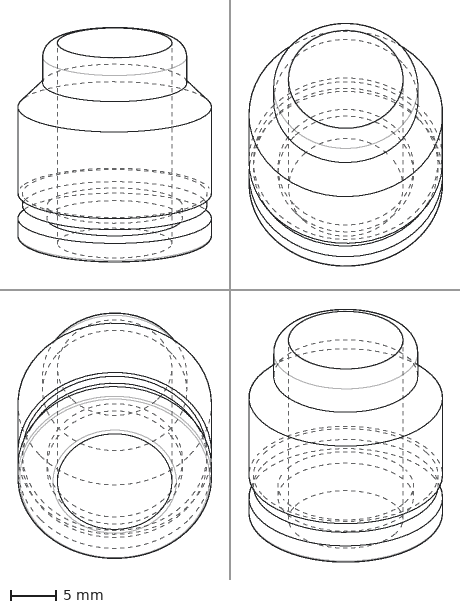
import cadquery as cq
import math

body_diameter = 21.5
total_height = 23.0

bore_diameter = 12.7
groove_diameter = 15.05
neck_diameter = 16.0
shoulder_diameter = 20.5
bottom_flat_diameter = 13.7

flange_top = 2.85
groove_top = 4.3
shoulder_top = 5.7
cylinder_top = 15.65

bottom_taper_angle = 10.0
flange_edge_radius = 0.25
lip_radius = 1.6

body_radius = body_diameter / 2
bore_radius = bore_diameter / 2
groove_radius = groove_diameter / 2
neck_radius = neck_diameter / 2
shoulder_radius = shoulder_diameter / 2
bottom_flat_radius = bottom_flat_diameter / 2

neck_base = cylinder_top + body_radius - neck_radius

taper_slope = math.tan(math.radians(bottom_taper_angle))
taper_height = (body_radius - bottom_flat_radius) * taper_slope


def make_sleeve():
    """Revolve the half section, (radius, height), about the Z axis."""
    section = (
        cq.Workplane("XZ")
        .moveTo(bore_radius, 0)
        .lineTo(bottom_flat_radius, 0)
        .lineTo(body_radius, taper_height)
        .lineTo(body_radius, flange_top)
        .lineTo(groove_radius, flange_top)
        .lineTo(groove_radius, groove_top)
        .lineTo(shoulder_radius, groove_top)
        .lineTo(shoulder_radius, shoulder_top)
        .lineTo(body_radius, shoulder_top)
        .lineTo(body_radius, cylinder_top)
        .lineTo(neck_radius, neck_base)
        .lineTo(neck_radius, total_height)
        .lineTo(bore_radius, total_height)
        .close()
    )
    return section.revolve(360, (0, 0, 0), (0, 1, 0))


def round_lip(sleeve):
    """Round the outer edge of the neck's top face."""
    lip_edge = cq.selectors.RadiusNthSelector(-1)
    return sleeve.faces(">Z").edges(lip_edge).fillet(lip_radius)


def round_flange_edge(sleeve):
    """Round the edge between the bottom cone and the flange's outer wall."""
    above_edge = taper_height + flange_edge_radius
    edge_zone = cq.selectors.BoxSelector(
        (-2 * body_radius, -2 * body_radius, taper_height / 2),
        (2 * body_radius, 2 * body_radius, above_edge),
    )
    outer_circle = cq.selectors.RadiusNthSelector(-1)
    return sleeve.edges(edge_zone).edges(outer_circle).fillet(flange_edge_radius)


result = round_flange_edge(round_lip(make_sleeve()))